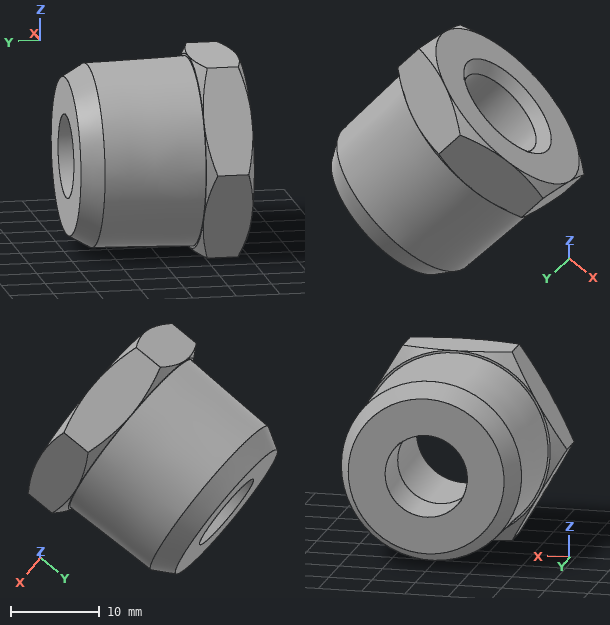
import cadquery as cq
import math

across_corners = 25.4
across_flats = across_corners * math.cos(math.radians(30))
collar_length = 5.5
corner_chamfer_angle = 30.0

total_length = 19.5
shank_base_diameter = 21.5
shank_tip_diameter = 20.88
tip_chamfer_diameter = 18.03
tip_chamfer_length = 2.5

mouth_diameter = 13.4
drill_diameter = 11.0
through_diameter = 9.5
drill_depth = 13.0
drill_point_angle = 118.0
countersink_depth = (mouth_diameter - drill_diameter) / 2


def revolve_profile(points):
    """Revolve (radius, axial position) points around the Y axis."""
    return cq.Workplane("XY").polyline(points).close().revolve(360, (0, 0), (0, 1))


def make_collar():
    """Hexagonal prism with corners on X, its corners chamfered at both ends."""
    prism = (
        cq.Workplane("XZ")
        .polygon(6, across_corners)
        .extrude(-collar_length)
    )
    flat_radius = across_flats / 2
    corner_radius = across_corners / 2
    chamfer_length = (corner_radius - flat_radius) * math.tan(math.radians(corner_chamfer_angle))
    envelope = revolve_profile([
        (0, 0),
        (flat_radius, 0),
        (corner_radius, chamfer_length),
        (corner_radius, collar_length - chamfer_length),
        (flat_radius, collar_length),
        (0, collar_length),
    ])
    return prism.intersect(envelope)


def make_shank():
    """Tapered shank with a chamfered tip, rooted halfway into the collar."""
    return revolve_profile([
        (0, collar_length / 2),
        (shank_tip_diameter / 2, collar_length / 2),
        (shank_tip_diameter / 2, collar_length),
        (shank_base_diameter / 2, collar_length),
        (shank_tip_diameter / 2, total_length - tip_chamfer_length),
        (tip_chamfer_diameter / 2, total_length),
        (0, total_length),
    ])


def make_bore():
    """Countersink, drilled length with a conical end, and through hole to the tip."""
    cone_width = (drill_diameter - through_diameter) / 2
    cone_length = cone_width / math.tan(math.radians(drill_point_angle / 2))
    return revolve_profile([
        (0, 0),
        (mouth_diameter / 2, 0),
        (drill_diameter / 2, countersink_depth),
        (drill_diameter / 2, drill_depth),
        (through_diameter / 2, drill_depth + cone_length),
        (through_diameter / 2, total_length),
        (0, total_length),
    ])


result = make_collar().union(make_shank()).cut(make_bore())